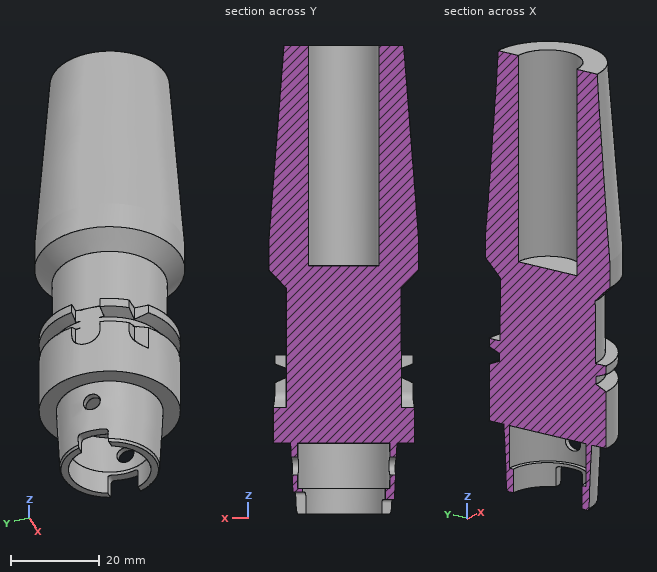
import cadquery as cq

total_length = 106.0

shank_length = 16.0
shank_top_radius = 12.1
shank_tip_radius = 11.3
tip_chamfer_width = 0.3
tip_chamfer_height = 0.6
mouth_radius = 9.3
mouth_height = 5.8
cavity_radius = 10.4
cavity_depth = shank_length

flange_radius = 16.0
flange_height = 20.0
groove_radius = 13.2
groove_cone_bottom = 13.8
groove_floor_bottom = 15.0
groove_floor_top = 16.9
groove_cone_top = 17.9

neck_radius = 13.0
neck_top = 51.1
head_radius = 34.0 / 2
head_band_bottom = 55.1
head_band_top = 61.5
head_top_radius = 13.6
bore_radius = 8.0
bore_depth = 49.8

slot_width = 6.8
slot_bottom = 8.2
side_slot_floor = neck_radius
corner_notch_floor = 9.5
corner_notch_inner_edge = 9.4

keyway_width = 7.2
left_keyway_depth = 3.3
right_keyway_depth = 5.0
keyway_corner_radius = 0.7
cross_hole_radius = 2.0
cross_hole_drop = 5.1


def turned_body():
    """Revolve the half section of the outside about Z."""
    base = shank_length
    half_section = [
        (0, 0),
        (shank_tip_radius - tip_chamfer_width, 0),
        (shank_tip_radius, tip_chamfer_height),
        (shank_top_radius, base),
        (flange_radius, base),
        (flange_radius, base + groove_cone_bottom),
        (groove_radius, base + groove_floor_bottom),
        (groove_radius, base + groove_floor_top),
        (flange_radius, base + groove_cone_top),
        (flange_radius, base + flange_height),
        (neck_radius, base + flange_height),
        (neck_radius, neck_top),
        (head_radius, head_band_bottom),
        (head_radius, head_band_top),
        (head_top_radius, total_length),
        (0, total_length),
    ]
    return cq.Workplane("XZ").polyline(half_section).close().revolve(360, (0, 0), (0, 1))


def flange_slot(side, floor, center_y):
    """Cutter for a round-ended flange slot, from its floor outward; side is -1 or +1 along X."""
    half_width = slot_width / 2
    arc_center_z = shank_length + slot_bottom + half_width
    top = shank_length + flange_height
    return (
        cq.Workplane("YZ", origin=(side * floor, center_y, 0))
        .moveTo(-half_width, top)
        .lineTo(-half_width, arc_center_z)
        .threePointArc((0, arc_center_z - half_width), (half_width, arc_center_z))
        .lineTo(half_width, top)
        .close()
        .extrude(side * flange_radius)
    )


def keyway(side, depth):
    """Cutter for one drive keyway, from the axis outward along X."""
    return (
        cq.Workplane("XY")
        .box(flange_radius, keyway_width, depth, centered=(False, True, False))
        .edges("|X and >Z")
        .fillet(keyway_corner_radius)
        .translate((0 if side > 0 else -flange_radius, 0, 0))
    )


result = turned_body()

result = result.faces(">Z").workplane().circle(bore_radius).cutBlind(-bore_depth)

mouth = cq.Workplane("XY").circle(mouth_radius).extrude(mouth_height)
cavity = (
    cq.Workplane("XY", origin=(0, 0, mouth_height))
    .circle(cavity_radius)
    .extrude(cavity_depth - mouth_height)
)
result = result.cut(mouth).cut(cavity)

for side in (-1, 1):
    result = result.cut(flange_slot(side, side_slot_floor, 0))
corner_notch_center_y = -(corner_notch_inner_edge + slot_width / 2)
result = result.cut(flange_slot(-1, corner_notch_floor, corner_notch_center_y))

result = result.cut(keyway(-1, left_keyway_depth))
result = result.cut(keyway(1, right_keyway_depth))
cross_hole = (
    cq.Workplane("YZ", origin=(0, 0, shank_length - cross_hole_drop))
    .circle(cross_hole_radius)
    .extrude(shank_top_radius, both=True)
)
result = result.cut(cross_hole)